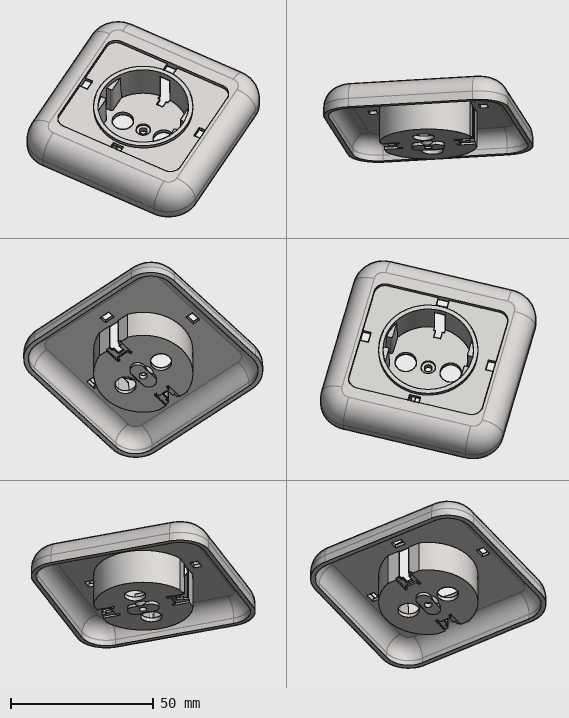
import cadquery as cq

frame_size = 65.9
frame_height = 10.55
frame_corner_radius = 10.75
frame_top_fillet = 7.45
frame_wall = 1.65

recess_length = 48.5
recess_width = 42.45
recess_corner_radius = 3.95
recess_depth = 1.3
plate_thickness = 1.3
plate_top = frame_height - recess_depth
plate_bottom = plate_top - plate_thickness

latch_width = 3.95
latch_depth = 2.9

cup_radius = 17.45
cup_flat_distance = 16.2
cup_bottom = -4.9
floor_top = -3.3
bore_top_radius = 15.9
bore_bottom_radius = 16.0

rib_distance = 13.65
rib_top = 8.55
channel_width = 4.2
rib_edge_radius = 0.5
rib_draft_angle = 1.0

notch_top = -4.1
contact_step_distance = 14.6
contact_inner_distance = 12.05
contact_tongue_width = 2.45

notch_width = 6.45
notch_pad_width = 4.6
notch_pad_distance = 11.2
notch_leg_distance = 9.9

pin_hole_radius = 3.75
pin_hole_distance = 8.2
screw_hole_radius = 1.4
screw_recess_radius = 2.5
screw_recess_depth = 0.8

bridge_bottom = -6.1
bridge_length = 11.5
bridge_width = 5.4
cone_top_radius = 3.6


def block(x_min, x_max, y_min, y_max, z_min, z_max):
    """Box given by its limits along each axis."""
    size = (x_max - x_min, y_max - y_min, z_max - z_min)
    return cq.Workplane("XY").box(*size, centered=False).translate((x_min, y_min, z_min))


def cylinder(radius, z_min, z_max):
    """Upright cylinder on the centre axis."""
    return cq.Workplane("XY").workplane(offset=z_min).circle(radius).extrude(z_max - z_min)


def rounded_cushion(inset, height):
    """Square frame body with rounded corners and top edge, sides moved inward by the inset."""
    size = frame_size - 2 * inset
    return (
        cq.Workplane("XY")
        .rect(size, size)
        .extrude(height)
        .edges("|Z")
        .fillet(frame_corner_radius - inset)
        .faces(">Z")
        .edges()
        .fillet(frame_top_fillet - inset)
    )


def make_frame():
    """Hollow frame with the recess and its centre plate."""
    recess = (
        cq.Workplane("XY")
        .workplane(offset=plate_top)
        .rect(recess_length, recess_width)
        .extrude(recess_depth)
        .edges("|Z")
        .fillet(recess_corner_radius)
    )
    return rounded_cushion(0, frame_height).cut(rounded_cushion(frame_wall, plate_bottom)).cut(recess)


def make_cup():
    """Solid cup: flattened on two sides below the plate, full ring above it."""
    lower = cylinder(cup_radius, cup_bottom, plate_top).intersect(
        block(-cup_radius, cup_radius, -cup_flat_distance, cup_flat_distance, cup_bottom, plate_top)
    )
    return lower.union(cylinder(cup_radius, plate_bottom, frame_height))


def make_bridge():
    """Rounded bar with a cone at its middle, under the cup floor."""
    height = cup_bottom - bridge_bottom
    bar = (
        cq.Workplane("XY")
        .workplane(offset=bridge_bottom)
        .slot2D(bridge_length, bridge_width, 90)
        .extrude(height)
    )
    cone = cq.Workplane(
        cq.Solid.makeCone(bridge_width / 2, cone_top_radius, height, pnt=cq.Vector(0, 0, bridge_bottom))
    )
    return bar.union(cone)


def make_bore():
    """Bore that widens downward and leaves two pairs of drafted ribs standing on the floor."""
    cone = cq.Workplane(
        cq.Solid.makeCone(
            bore_bottom_radius, bore_top_radius, frame_height - floor_top, pnt=cq.Vector(0, 0, floor_top)
        )
    )
    corner_zone = cq.selectors.BoxSelector(
        (-cup_flat_distance, -channel_width, -0.65), (cup_flat_distance, channel_width, 0.65)
    )
    cross = (
        cq.Sketch()
        .rect(2 * rib_distance, 2 * cup_radius)
        .rect(2 * cup_radius, channel_width)
        .clean()
        .reset()
        .vertices(corner_zone)
        .fillet(rib_edge_radius)
    )
    between_ribs = (
        cq.Workplane("XY")
        .workplane(offset=rib_top)
        .placeSketch(cross)
        .extrude(floor_top - rib_top, taper=rib_draft_angle)
    )
    above_ribs = cylinder(cup_radius, rib_top, frame_height)
    return cone.intersect(between_ribs.union(above_ribs))


def make_contact_slot():
    """Cutter for the contact slot and the notch below it on the +Y side."""
    half_width = latch_width / 2
    half_tongue = contact_tongue_width / 2
    half_notch = notch_width / 2
    half_pad = notch_pad_width / 2
    wall_opening = block(-half_width, half_width, contact_step_distance, cup_radius, notch_top, plate_bottom)
    tongue = block(-half_tongue, half_tongue, contact_inner_distance, bore_top_radius, notch_top, floor_top)
    notch = block(-half_notch, half_notch, notch_pad_distance, cup_radius, cup_bottom, notch_top)
    legs = block(-half_notch, half_notch, notch_leg_distance, notch_pad_distance, cup_bottom, notch_top).cut(
        block(-half_pad, half_pad, notch_leg_distance, notch_pad_distance, cup_bottom, notch_top)
    )
    return wall_opening.union(tongue).union(notch).union(legs)


def make_latch_window(edge_distance):
    """Cutter for a window that ends at the +Y recess wall."""
    return block(
        -latch_width / 2, latch_width / 2, edge_distance - latch_depth, edge_distance, 0, plate_top
    )


def turned(shape, angle):
    """Shape turned about the centre axis."""
    return shape.rotate((0, 0, 0), (0, 0, 1), angle)


body = make_frame().union(make_cup()).union(make_bridge()).cut(make_bore())

for angle in (0, 180):
    body = body.cut(turned(make_contact_slot(), angle))
    body = body.cut(turned(make_latch_window(recess_width / 2), angle))
    body = body.cut(turned(make_latch_window(recess_length / 2), angle + 90))

for x in (-pin_hole_distance, pin_hole_distance):
    body = body.cut(cylinder(pin_hole_radius, cup_bottom, floor_top).translate((x, 0, 0)))

body = body.cut(cylinder(screw_hole_radius, bridge_bottom, floor_top))
body = body.cut(cylinder(screw_recess_radius, floor_top - screw_recess_depth, floor_top))

result = body